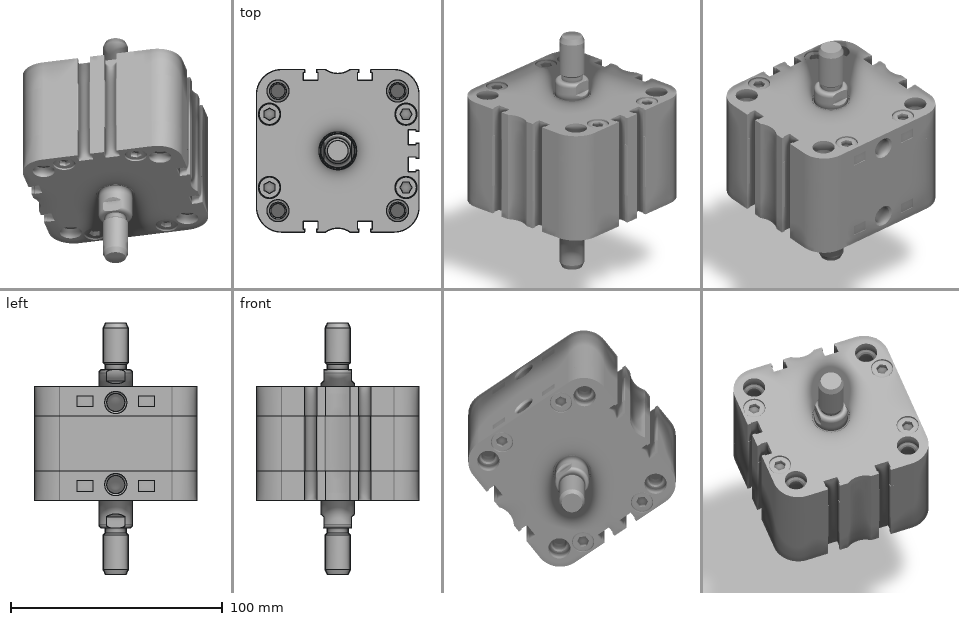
import cadquery as cq
import math


side = 77.0
corner_radius = 12.0
barrel_height = 26.0
cap_height = 14.0
housing_half_height = barrel_height / 2 + cap_height

slot_depth = 5.1
slot_lip = 1.5
slot_cavity_width = 6.9
cap_mouth_width = 6.0
barrel_mouth_width = 5.5
slot_offset_x = 12.9
slot_offset_y = 6.4
groove_radius = 20.5 / 2
groove_width = 11.8
barrel_edge_round = 0.4

corner_hole_pitch = 56.5
corner_bore_diameter = 10.5
corner_bore_depth = 5.1
thread_mouth_diameter = 8.0
thread_core_diameter = 6.7
thread_depth = 7.1
screw_pitch_x = 64.5
screw_pitch_y = 34.6
screw_bore_diameter = 10.5
screw_head_diameter = 9.8
screw_gap_depth = 1.2
screw_recess = 0.6
hex_across_flats = 5.0
hex_depth = 2.4
port_drop = 7.6
port_mouth_diameter = 10.5
port_diameter = 8.6
port_depth = 11.9
label_offset = 14.5
label_length = 7.4
label_height = 5.1
label_depth = 0.2
wiper_bore_diameter = 18.0
wiper_outer_diameter = 17.7
wiper_inner_diameter = 16.5
wiper_gap_depth = 1.0

rod_length = 119.0
rod_diameter = 16.0
rod_top_projection = 30.0
rod_end_length = 22.0
shoulder_fillet = 1.7
thread_diameter = 12.0
neck_diameter = 10.0
neck_length = 2.3
thread_chamfer_length = 1.0
tip_diameter = 9.8
tip_length = 2.5
flats_width = 13.2
flats_height = 5.4


def slot_cutter(mouth_width, height):
    """T-slot opening toward +X at X = side / 2, standing on Z = 0."""
    face = side / 2
    cavity_length = slot_depth - slot_lip
    cavity = cq.Workplane("XY").box(cavity_length, slot_cavity_width, height, centered=(False, True, False))
    mouth = cq.Workplane("XY").box(slot_depth, mouth_width, height, centered=(False, True, False))
    return cavity.union(mouth).translate((face - slot_depth, 0, 0))


def housing_block(height, mouth_width):
    """Rounded square block on Z = 0 with the T-slots and scooped grooves of the profile."""
    block = cq.Workplane("XY").box(side, side, height, centered=(True, True, False))
    block = block.edges("|Z").fillet(corner_radius)
    slot = slot_cutter(mouth_width, height)
    for sign in (-1, 1):
        block = block.cut(slot.translate((0, sign * slot_offset_y, 0)))
        for turn in (-90, 90):
            block = block.cut(slot.rotate((0, 0, 0), (0, 0, 1), turn).translate((sign * slot_offset_x, 0, 0)))
        axis_y = side / 2 + math.sqrt(groove_radius**2 - (groove_width / 2) ** 2)
        groove = cq.Workplane("XY").center(0, sign * axis_y).circle(groove_radius).extrude(height)
        block = block.cut(groove)
    return block


def revolved(points):
    """Solid of revolution about Z from (radius, z) points."""
    return cq.Workplane("XZ").polyline(points).close().revolve(360, (0, 0, 0), (0, 1, 0))


def countersunk_hole(mouth_dia, hole_dia, depth):
    """Hole from Z = 0 down to -depth with a 45 degree countersink at the mouth."""
    mouth = mouth_dia / 2
    hole = hole_dia / 2
    return revolved([(0, 0), (mouth, 0), (hole, hole - mouth), (hole, -depth), (0, -depth)])


def cut_corner_holes(cap):
    """Counterbored, threaded mounting holes in the four corners."""
    bore = cq.Workplane("XY").circle(corner_bore_diameter / 2).extrude(-corner_bore_depth)
    thread = countersunk_hole(thread_mouth_diameter, thread_core_diameter, thread_depth)
    hole = bore.union(thread.translate((0, 0, -corner_bore_depth)))
    for sx in (-1, 1):
        for sy in (-1, 1):
            place = (sx * corner_hole_pitch / 2, sy * corner_hole_pitch / 2, cap_height)
            cap = cap.cut(hole.translate(place))
    return cap


def cut_screw_heads(cap):
    """Socket screw heads formed in the cap face, each inside a thin annular gap."""
    gap = (
        cq.Workplane("XY").circle(screw_bore_diameter / 2).circle(screw_head_diameter / 2)
        .extrude(-screw_gap_depth)
    )
    face = cq.Workplane("XY").circle(screw_bore_diameter / 2).extrude(-screw_recess)
    hex_across_corners = hex_across_flats / math.cos(math.radians(30))
    socket = cq.Workplane("XY").polygon(6, hex_across_corners).extrude(-screw_recess - hex_depth)
    for sx in (-1, 1):
        turn = 30 if sx < 0 else 0
        head = gap.union(face).union(socket.rotate((0, 0, 0), (0, 0, 1), turn))
        for sy in (-1, 1):
            place = (sx * screw_pitch_x / 2, sy * screw_pitch_y / 2, cap_height)
            cap = cap.cut(head.translate(place))
    return cap


def cut_port_and_labels(cap):
    """Air port and two shallow label recesses in the -X side."""
    port = countersunk_hole(port_mouth_diameter, port_diameter, port_depth)
    port = port.rotate((0, 0, 0), (0, 1, 0), -90)
    cap = cap.cut(port.translate((-side / 2, 0, cap_height - port_drop)))
    for sign in (-1, 1):
        label = cq.Workplane("XY").box(2 * label_depth, label_length, label_height)
        cap = cap.cut(label.translate((-side / 2, sign * label_offset, cap_height / 2)))
    return cap


def cut_rod_bore(cap):
    """Rod bore whose mouth has a wiper lip, formed by two thin annular gaps in the outer face."""
    bore = cq.Workplane("XY").circle(rod_diameter / 2).extrude(cap_height)
    face = cq.Workplane("XY").workplane(offset=cap_height)
    inner_gap = face.circle(wiper_inner_diameter / 2).extrude(-wiper_gap_depth)
    outer_gap = (
        face.circle(wiper_bore_diameter / 2).circle(wiper_outer_diameter / 2)
        .extrude(-wiper_gap_depth)
    )
    return cap.cut(bore).cut(inner_gap).cut(outer_gap)


def make_cap():
    """End cap on Z = 0 with its outer face up."""
    cap = housing_block(cap_height, cap_mouth_width)
    cap = cut_corner_holes(cap)
    cap = cut_screw_heads(cap)
    cap = cut_port_and_labels(cap)
    return cut_rod_bore(cap)


def round_profile_edges(block):
    """Round the slot and groove edges that lie in the -Y, +Y and +X sides of the barrel."""
    face = side / 2
    reach = face - corner_radius - barrel_edge_round
    margin = barrel_edge_round
    strip_ends = [
        ((-reach, -face - margin, 0), (reach, -face + margin, barrel_height)),
        ((-reach, face - margin, 0), (reach, face + margin, barrel_height)),
        ((face - margin, -reach, 0), (face + margin, reach, barrel_height)),
    ]
    for start, end in strip_ends:
        strip = cq.selectors.BoxSelector(start, end)
        block = block.edges("|Z").edges(strip).fillet(barrel_edge_round)
    return block


def make_barrel():
    """Barrel between the caps, bored to fit the rod."""
    bore = cq.Workplane("XY").circle(rod_diameter / 2).extrude(barrel_height)
    block = housing_block(barrel_height, barrel_mouth_width)
    barrel = round_profile_edges(block).cut(bore)
    return barrel.translate((0, 0, -barrel_height / 2))


def rod_end():
    """Undercut, chamfered thread rising from the shoulder at Z = 0."""
    neck = neck_diameter / 2
    thread = thread_diameter / 2
    tip = tip_diameter / 2
    return revolved([
        (0, 0),
        (neck, 0),
        (neck, neck_length),
        (thread, neck_length + thread_chamfer_length),
        (thread, rod_end_length - tip_length),
        (tip, rod_end_length),
        (0, rod_end_length),
    ])


def flat_cutter():
    """Wrench flat on the +X side below a shoulder at Z = 0, ending in a 45 degree run-out."""
    inner = flats_width / 2
    outer = rod_diameter
    run_out = outer - inner
    outline = [(inner, 0), (outer, 0), (outer, -flats_height - run_out), (inner, -flats_height)]
    return cq.Workplane("XZ").polyline(outline).close().extrude(rod_diameter / 2, both=True)


def make_rod():
    """Through rod with the same threaded end and wrench flats at both ends."""
    shank_length = rod_length - 2 * rod_end_length
    rod = cq.Workplane("XY").circle(rod_diameter / 2).extrude(shank_length)
    rod = rod.translate((0, 0, -shank_length / 2)).edges().fillet(shoulder_fillet)
    shoulder = (0, 0, shank_length / 2)
    thread = rod_end().translate(shoulder)
    flat = flat_cutter().translate(shoulder)
    for flip in (0, 180):
        rod = rod.union(thread.rotate((0, 0, 0), (1, 0, 0), flip))
        for turn in (0, 180):
            cutter = flat.rotate((0, 0, 0), (0, 0, 1), turn).rotate((0, 0, 0), (1, 0, 0), flip)
            rod = rod.cut(cutter)
    middle_z = housing_half_height + rod_top_projection - rod_length / 2
    return rod.translate((0, 0, middle_z))


caps = []
for flip in (0, 180):
    end_cap = make_cap().translate((0, 0, barrel_height / 2))
    caps.append(end_cap.rotate((0, 0, 0), (1, 0, 0), flip).val())
barrel = make_barrel()
piston_rod = make_rod()

result = cq.Compound.makeCompound([*caps, barrel.val(), piston_rod.val()])